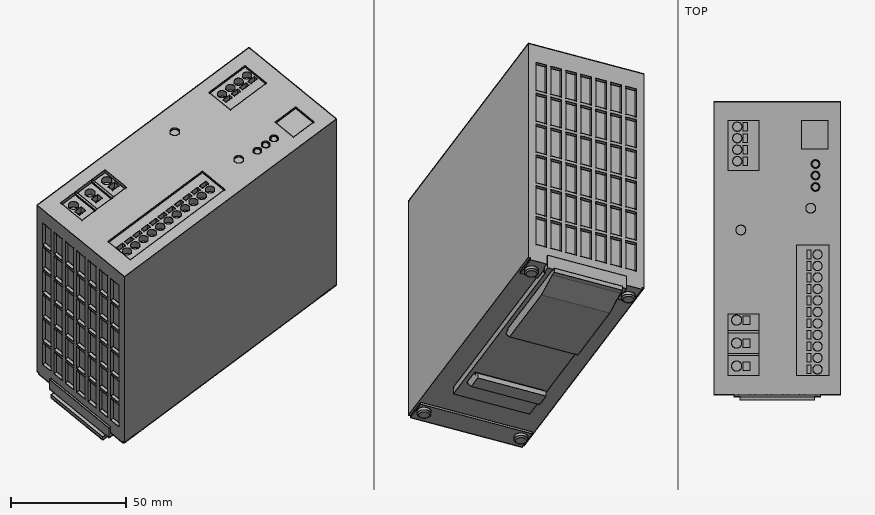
import cadquery as cq

WIDTH = 55.0
DEPTH = 127.0
HEIGHT = 115.0

VENT_COLUMNS = 7
VENT_ROWS = 6
VENT_GRID_WIDTH = 47.7
VENT_WIDTH = 5.0
VENT_HEIGHT = 15.0
VENT_COLUMN_PITCH = (VENT_GRID_WIDTH - VENT_WIDTH) / (VENT_COLUMNS - 1)
VENT_ROW_PITCH = 16.5
VENT_CENTRE_Z = 56.9
VENT_DEPTH = 1.5

TERMINAL_RECESS = 1.0
WIRE_HOLE_DEPTH = 3.9
MAINS_PITCH = 10.0
SIGNAL_PITCH = MAINS_PITCH / 2
SIGNAL_HOLE_DIAMETER = 4.0
SIGNAL_SLOT = (1.8, 3.7)

OUTPUT_BLOCK = (13.5, 21.6)
OUTPUT_CENTRE = (-14.6, 108.0)
OUTPUT_POLES = 4
OUTPUT_REAR_POLE_Y = 116.1
OUTPUT_HOLE_X = -17.3
OUTPUT_SLOT_X = -13.8

CONTROL_BLOCK = (14.1, 56.6)
CONTROL_CENTRE = (15.4, 36.6)
CONTROL_POLES = 11
CONTROL_REAR_POLE_Y = 60.8
CONTROL_HOLE_X = 17.5
CONTROL_SLOT_X = 13.7

MAINS_BLOCK = (13.5, 26.6)
MAINS_CENTRE = (-14.6, 21.6)
MAINS_RECESS = 2.0
MAINS_POLES = 3
MAINS_REAR_POLE_Y = 32.3
MAINS_HOLE_X = -17.6
MAINS_SLOT_X = -13.3
MAINS_HOLE_DIAMETER = 4.4
MAINS_SLOT = (2.8, 3.7)
MAINS_RIBS_Y = (27.3, 17.5)
MAINS_RIB_THICKNESS = 1.0
MAINS_RIB_HEIGHT = 0.9

WINDOW = (11.5, 12.3)
WINDOW_CENTRE = (16.2, 112.6)
WINDOW_DEPTH = 1.0
LAMP_X = 16.5
LAMP_REAR_Y = 100.0
LAMP_COUNT = 3
LAMP_DIAMETER = 3.7
LAMP_CORE_DIAMETER = 3.0
LAMP_DEPTH = 1.0
LAMP_CORE_DROP = 0.4
ROUND_HOLES = ((14.5, 80.8), (-15.8, 71.4))
ROUND_HOLE_DIAMETER = 4.3
ROUND_HOLE_DEPTH = 1.0

STRIP_WIDTH = 53
STRIP_LENGTH = 10.9
STRIP_THICKNESS = 1.0
SCREW_X = 23.0
SCREW_FROM_END = 6.7
SCREW_DIAMETER = 6.1
SCREW_HEIGHT = 2.1
SCREW_CHAMFER = 0.6

PLATE_WIDTH = 36.2
PLATE_THICKNESS = 3.6
PLATE_REAR_Y = 100.2
LIP_WIDTH = 37.5
LIP_TOP_Z = 3.1
LIP_PROJECTION = 0.9
LIP_FLANGE = 3.0

CLIP_WIDTH = 32.5
LATCH_PROJECTION = 2.3
LATCH_TAB_TOP_Z = -4.0
LATCH_TAB_BOTTOM_Z = -6.2
LATCH_JAW_Y = 47.1
LATCH_TIP = (49.0, -5.2)
LATCH_JAW_Z = -4.1
LATCH_BOTTOM_Z = -9.3
LATCH_FLAT_FRONT_Y = 11.2
LATCH_FLAT_REAR_Y = 45.0
HOOK_BOTTOM_Z = -8.9
HOOK_JAW_Y = 81.7
HOOK_JAW_Z = -5.0
HOOK_SLOPE_Y = 80.2
HOOK_NOSE = (78.6, -6.3)
HOOK_FLAT_REAR_Y = 85.5
HOOK_REAR_Y = 90.3


def box(x_range, y_range, z_range):
    """Axis-aligned block given by its limits."""
    return (
        cq.Workplane("XY")
        .box(
            x_range[1] - x_range[0],
            y_range[1] - y_range[0],
            z_range[1] - z_range[0],
            centered=False,
        )
        .translate((x_range[0], y_range[0], z_range[0]))
    )


def centred_box(width, y_range, z_range):
    """Block centred across the width of the housing."""
    return box((-width / 2, width / 2), y_range, z_range)


def rect_prisms(points, size, depth, top=HEIGHT):
    """Rectangular prisms reaching down from the level top."""
    return cq.Workplane("XY").workplane(offset=top).pushPoints(points).rect(*size).extrude(-depth)


def round_prisms(points, diameter, depth, top=HEIGHT):
    """Cylinders reaching down from the level top."""
    return cq.Workplane("XY").workplane(offset=top).pushPoints(points).circle(diameter / 2).extrude(-depth)


def pole_row(x, rear_y, pitch, count):
    """Points of one row of poles, from the rear towards the front."""
    return [(x, rear_y - i * pitch) for i in range(count)]


def cut_terminal(body, block, centre, recess, holes, hole_diameter, slots, slot_size):
    """Sink a terminal block with its wire holes and release slots."""
    floor = HEIGHT - recess
    body = body.cut(rect_prisms([centre], block, recess))
    body = body.cut(round_prisms(holes, hole_diameter, WIRE_HOLE_DEPTH, floor))
    return body.cut(rect_prisms(slots, slot_size, WIRE_HOLE_DEPTH, floor))


def cut_vents(body):
    vents = (
        cq.Workplane("XZ")
        .center(0, VENT_CENTRE_Z)
        .rarray(VENT_COLUMN_PITCH, VENT_ROW_PITCH, VENT_COLUMNS, VENT_ROWS)
        .rect(VENT_WIDTH, VENT_HEIGHT)
        .extrude(-VENT_DEPTH)
    )
    return body.cut(vents)


def cut_terminals(body):
    body = cut_terminal(
        body, OUTPUT_BLOCK, OUTPUT_CENTRE, TERMINAL_RECESS,
        pole_row(OUTPUT_HOLE_X, OUTPUT_REAR_POLE_Y, SIGNAL_PITCH, OUTPUT_POLES), SIGNAL_HOLE_DIAMETER,
        pole_row(OUTPUT_SLOT_X, OUTPUT_REAR_POLE_Y, SIGNAL_PITCH, OUTPUT_POLES), SIGNAL_SLOT,
    )
    body = cut_terminal(
        body, CONTROL_BLOCK, CONTROL_CENTRE, TERMINAL_RECESS,
        pole_row(CONTROL_HOLE_X, CONTROL_REAR_POLE_Y, SIGNAL_PITCH, CONTROL_POLES), SIGNAL_HOLE_DIAMETER,
        pole_row(CONTROL_SLOT_X, CONTROL_REAR_POLE_Y, SIGNAL_PITCH, CONTROL_POLES), SIGNAL_SLOT,
    )
    body = cut_terminal(
        body, MAINS_BLOCK, MAINS_CENTRE, MAINS_RECESS,
        pole_row(MAINS_HOLE_X, MAINS_REAR_POLE_Y, MAINS_PITCH, MAINS_POLES), MAINS_HOLE_DIAMETER,
        pole_row(MAINS_SLOT_X, MAINS_REAR_POLE_Y, MAINS_PITCH, MAINS_POLES), MAINS_SLOT,
    )
    ribs = rect_prisms(
        [(MAINS_CENTRE[0], y) for y in MAINS_RIBS_Y],
        (MAINS_BLOCK[0], MAINS_RIB_THICKNESS),
        MAINS_RIB_HEIGHT,
        HEIGHT - MAINS_RECESS + MAINS_RIB_HEIGHT,
    )
    return body.union(ribs)


def cut_indicators(body):
    lamps = pole_row(LAMP_X, LAMP_REAR_Y, SIGNAL_PITCH, LAMP_COUNT)
    body = body.cut(rect_prisms([WINDOW_CENTRE], WINDOW, WINDOW_DEPTH))
    body = body.cut(round_prisms(ROUND_HOLES, ROUND_HOLE_DIAMETER, ROUND_HOLE_DEPTH))
    body = body.cut(round_prisms(lamps, LAMP_DIAMETER, LAMP_DEPTH))
    core_height = LAMP_DEPTH - LAMP_CORE_DROP
    return body.union(round_prisms(lamps, LAMP_CORE_DIAMETER, core_height, HEIGHT - LAMP_CORE_DROP))


def make_feet():
    """Foot strips at both ends, each with two screw heads."""
    z_range = (-STRIP_THICKNESS, 0)
    feet = centred_box(STRIP_WIDTH, (0, STRIP_LENGTH), z_range)
    feet = feet.union(centred_box(STRIP_WIDTH, (DEPTH - STRIP_LENGTH, DEPTH), z_range))
    screw_points = [
        (x, y) for x in (-SCREW_X, SCREW_X) for y in (SCREW_FROM_END, DEPTH - SCREW_FROM_END)
    ]
    screws = round_prisms(screw_points, SCREW_DIAMETER, SCREW_HEIGHT, -STRIP_THICKNESS)
    return feet.union(screws.faces("<Z").chamfer(SCREW_CHAMFER))


def make_plate():
    """Rail plate with the wider flange and lip at its front end."""
    plate = centred_box(PLATE_WIDTH, (0, PLATE_REAR_Y), (-PLATE_THICKNESS, 0))
    flange = centred_box(LIP_WIDTH, (0, LIP_FLANGE), (-PLATE_THICKNESS, 0))
    lip = centred_box(LIP_WIDTH, (-LIP_PROJECTION, 0), (-PLATE_THICKNESS, LIP_TOP_Z))
    return plate.union(flange).union(lip)


def extrude_clip(profile):
    """Clip from its (Y, Z) profile, centred across the width."""
    return cq.Workplane("YZ").polyline(profile).close().extrude(CLIP_WIDTH / 2, both=True)


def make_clips():
    plate_z = -PLATE_THICKNESS
    latch = extrude_clip([
        (0, plate_z),
        (0, LATCH_TAB_TOP_Z),
        (-LATCH_PROJECTION, LATCH_TAB_TOP_Z),
        (-LATCH_PROJECTION, LATCH_TAB_BOTTOM_Z),
        (0, LATCH_TAB_BOTTOM_Z),
        (LATCH_FLAT_FRONT_Y, LATCH_BOTTOM_Z),
        (LATCH_FLAT_REAR_Y, LATCH_BOTTOM_Z),
        LATCH_TIP,
        (LATCH_JAW_Y, LATCH_JAW_Z),
        (LATCH_JAW_Y, plate_z),
    ])
    hook = extrude_clip([
        (HOOK_JAW_Y, plate_z),
        (HOOK_JAW_Y, HOOK_JAW_Z),
        (HOOK_SLOPE_Y, HOOK_JAW_Z),
        HOOK_NOSE,
        (HOOK_NOSE[0], HOOK_BOTTOM_Z),
        (HOOK_FLAT_REAR_Y, HOOK_BOTTOM_Z),
        (HOOK_REAR_Y, plate_z),
    ])
    return latch.union(hook)


housing = centred_box(WIDTH, (0, DEPTH), (0, HEIGHT))
housing = cut_vents(housing)
housing = cut_terminals(housing)
housing = cut_indicators(housing)
result = housing.union(make_feet()).union(make_plate()).union(make_clips())